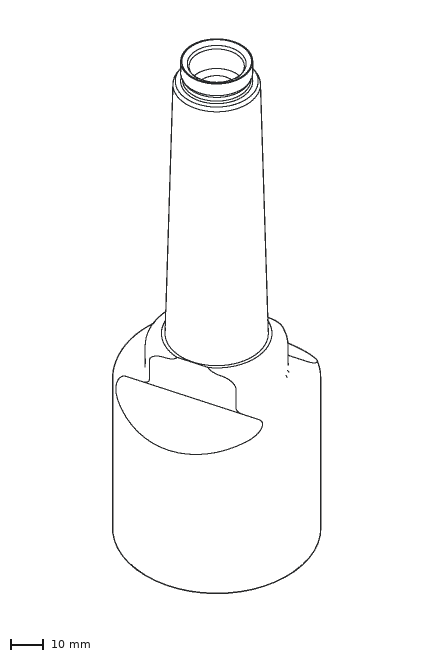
import cadquery as cq
import math

base_diameter = 63.5
base_radius = base_diameter / 2
base_chamfer = 1.0
shoulder_z = 63.0
shoulder_fillet = 4.0
neck_radius = 21.8
neck_root_fillet = 1.6
collar_z = 75.2
collar_fillet = 3.3
seat_flare = 1.6
seat_z = collar_z + seat_flare

flat_offset = 16.0
flat_slope_angle = 30.0
cutter_margin = 3.7

overall_height = 183.0
taper_base_radius = 15.7
taper_top_radius = 13.4
shank_shoulder_z = 175.3
shank_chamfer_width = 0.7
shank_chamfer_height = 1.3

nose_radius = 11.0
undercut_radius = 10.5
undercut_top_z = 178.5
undercut_bevel_height = 1.1
undercut_root_bevel = 0.5

mouth_radius = 10.6
mouth_inner_radius = 9.0
mouth_angle = 120.0
bore_radius = 8.5
bore_bevel_angle = 60.0
bore_depth = 9.5
bore_floor_angle = 140.0
bore_floor_z = overall_height - bore_depth

plug_radius = 6.0
plug_length = 36.6


def arc_middle(center, radius, angle):
    """Point on a circle in the radius-height plane, angle in degrees."""
    turn = math.radians(angle)
    return center[0] + radius * math.cos(turn), center[1] + radius * math.sin(turn)


def cone_height(radius_change, included_angle):
    """Height over which a cone of the given included angle changes radius."""
    return radius_change / math.tan(math.radians(included_angle / 2))


def make_base_blank():
    shoulder_outer = base_radius - shoulder_fillet
    collar_edge = neck_radius - collar_fillet
    shoulder_center = (shoulder_outer, shoulder_z - shoulder_fillet)
    root_center = (neck_radius + neck_root_fillet, shoulder_z + neck_root_fillet)
    collar_center = (collar_edge, collar_z - collar_fillet)
    flare_center = (collar_edge, seat_z)
    return (
        cq.Workplane("XZ")
        .lineTo(base_radius - base_chamfer, 0)
        .lineTo(base_radius, base_chamfer)
        .lineTo(base_radius, shoulder_center[1])
        .threePointArc(arc_middle(shoulder_center, shoulder_fillet, 45), (shoulder_outer, shoulder_z))
        .lineTo(root_center[0], shoulder_z)
        .threePointArc(arc_middle(root_center, neck_root_fillet, 225), (neck_radius, root_center[1]))
        .lineTo(neck_radius, collar_center[1])
        .threePointArc(arc_middle(collar_center, collar_fillet, 45), (collar_edge, collar_z))
        .threePointArc(arc_middle(flare_center, seat_flare, 225), (collar_edge - seat_flare, seat_z))
        .lineTo(0, seat_z)
        .close()
        .revolve(360, (0, 0), (0, 1))
    )


def make_flat_cutter(side):
    """Cutter for one flat; side is +1 for +Y or -1 for -Y."""
    outer_y = base_radius + cutter_margin
    drop = (outer_y - flat_offset) * math.tan(math.radians(flat_slope_angle))
    top_z = seat_z + cutter_margin
    return (
        cq.Workplane("YZ")
        .moveTo(side * flat_offset, shoulder_z)
        .lineTo(side * outer_y, shoulder_z - drop)
        .lineTo(side * outer_y, top_z)
        .lineTo(side * flat_offset, top_z)
        .close()
        .extrude(base_radius + cutter_margin, both=True)
    )


def make_base():
    base = make_base_blank()
    for side in (1, -1):
        base = base.cut(make_flat_cutter(side))
    return base


def make_shank():
    mouth_depth = cone_height(mouth_radius - mouth_inner_radius, mouth_angle)
    bevel_depth = cone_height(mouth_inner_radius - bore_radius, bore_bevel_angle)
    floor_cone_depth = cone_height(bore_radius, bore_floor_angle)
    return (
        cq.Workplane("XZ")
        .moveTo(0, seat_z)
        .lineTo(taper_base_radius, seat_z)
        .lineTo(taper_top_radius, shank_shoulder_z - shank_chamfer_height)
        .lineTo(taper_top_radius - shank_chamfer_width, shank_shoulder_z)
        .lineTo(undercut_radius + undercut_root_bevel, shank_shoulder_z)
        .lineTo(undercut_radius, shank_shoulder_z + undercut_root_bevel)
        .lineTo(undercut_radius, undercut_top_z - undercut_bevel_height)
        .lineTo(nose_radius, undercut_top_z)
        .lineTo(nose_radius, overall_height)
        .lineTo(mouth_radius, overall_height)
        .lineTo(mouth_inner_radius, overall_height - mouth_depth)
        .lineTo(bore_radius, overall_height - mouth_depth - bevel_depth)
        .lineTo(bore_radius, bore_floor_z)
        .lineTo(0, bore_floor_z - floor_cone_depth)
        .close()
        .revolve(360, (0, 0), (0, 1))
    )


def make_plug():
    edge_z = bore_floor_z - cone_height(bore_radius - plug_radius, bore_floor_angle)
    tip_z = bore_floor_z - cone_height(bore_radius, bore_floor_angle)
    bottom_z = edge_z - plug_length
    return (
        cq.Workplane("XZ")
        .moveTo(0, bottom_z)
        .lineTo(plug_radius, bottom_z)
        .lineTo(plug_radius, edge_z)
        .lineTo(0, tip_z)
        .close()
        .revolve(360, (0, 0), (0, 1))
    )


def make_holder():
    """Base and shank as one body, with a hole that the plug fills exactly."""
    return make_base().union(make_shank()).cut(make_plug())


holder = make_holder()
plug = make_plug()

result = cq.Compound.makeCompound([holder.solids().val(), plug.val()])